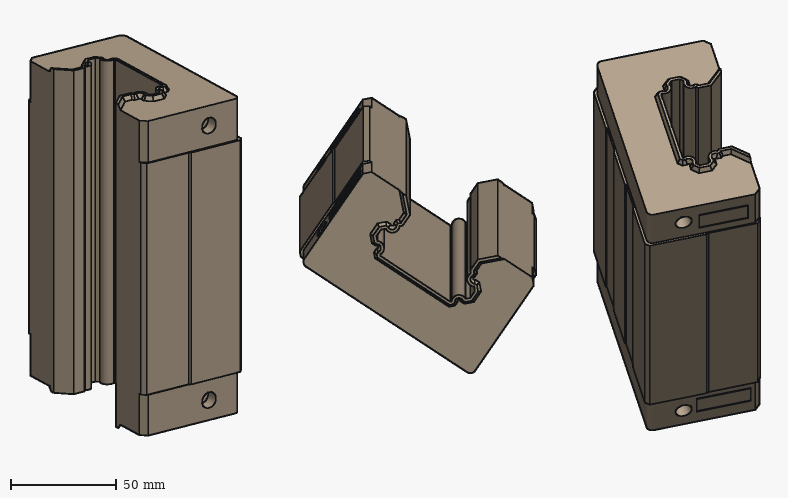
import cadquery as cq
import math


total_length = 165.7
block_length = 118.6
lip_height = 2.3
half_length = total_length / 2
cap_end = half_length - lip_height
cap_length = cap_end - block_length / 2

block_half_width = 50.0
block_height = 57.0
lower_half_width = 49.5
step_top = 27.2
step_bottom = 25.8
top_chamfer = 1.8
bottom_chamfer_x = 2.5
bottom_chamfer_y = 1.8
groove_inner = 10.5
groove_outer = 25.5
groove_depth = 0.5

cap_half_width = 48.9
cap_height = 55.7
cap_top_radius = 2.8
cap_bottom_chamfer = 3.0

mouth_half_width = 26.2
throat_half_width = 19.4
throat_top = 13.1
lobe_wall_half_width = 20.4
lobe_radius = 3.5
lobe_center_x = 23.5
lobe_center_rise = 6.6
race_center_y = 22.4
race_half_gap = 3.5
recess_half_width = 26.8
recess_half_height = 2.0
ceiling_half_width = 20.0
ceiling_y = 31.2

lip_base_width = 2.8
lip_rim_width = 1.5

hole_radius = 4.0
hole_depth = 6.6
hole_y = 38.1
hole_z = 70.3
label_height = 9.3
label_depth = 0.3
label_z = 68.5
upper_label_start_y = 6.5
upper_label_width = 24.0
lower_label_start_y = 5.1
lower_label_width = 26.5


def mirrored(points):
    """Reflect a path to the -X half, in reverse order."""
    return [(-x, y) for x, y in reversed(points)]


def channel_section(offset, z):
    """Channel outline on the plane at z, grown outwards by offset."""
    corner_shift = offset * math.tan(math.pi / 8)
    throat = throat_half_width + offset
    mouth = mouth_half_width + offset * math.sqrt(2)
    throat_end = throat_top - corner_shift
    lobe_wall = lobe_wall_half_width + offset
    radius = lobe_radius - offset
    gap = race_half_gap + offset
    recess = recess_half_width + offset
    recess_half = recess_half_height + corner_shift
    recess_start = recess - (gap - recess_half)
    ceiling = ceiling_y + offset
    ceiling_end = ceiling_half_width + corner_shift

    lobe_start_rise = lobe_center_rise + math.sqrt(radius**2 - (lobe_center_x - lobe_wall) ** 2)
    lobe_end_x = lobe_center_x + math.sqrt(radius**2 - (lobe_center_rise - gap) ** 2)
    lobe_middle = radius * math.sqrt(0.5)

    def race_path(side):
        """Points from the lobe wall to the recess wall; side is -1 below, +1 above."""
        rises = [
            (lobe_wall, lobe_start_rise),
            (lobe_center_x - lobe_middle, lobe_center_rise - lobe_middle),
            (lobe_end_x, gap),
            (recess_start, gap),
            (recess, recess_half),
        ]
        return [(x, race_center_y + side * rise) for x, rise in rises]

    right_side = [
        (mouth, 0),
        (throat, mouth - throat),
        (throat, throat_end),
        (lobe_wall, throat_end + lobe_wall - throat),
        *race_path(-1),
        *reversed(race_path(1)),
        (lobe_wall, ceiling - (lobe_wall - ceiling_end)),
        (ceiling_end, ceiling),
    ]
    points = right_side + mirrored(right_side)
    last = len(points) - 1
    lower_lobe = 5
    upper_lobe = 12
    arc_middles = {lower_lobe, upper_lobe, last - upper_lobe, last - lower_lobe}
    arc_ends = {index + 1 for index in arc_middles}

    path = cq.Workplane("XY", origin=(0, 0, z)).moveTo(*points[0])
    for index in range(1, len(points)):
        if index in arc_middles:
            path = path.threePointArc(points[index], points[index + 1])
        elif index not in arc_ends:
            path = path.lineTo(*points[index])
    return path.close()


def steel_block():
    right_side = [
        (lower_half_width - bottom_chamfer_x, 0),
        (lower_half_width, bottom_chamfer_y),
        (lower_half_width, step_bottom),
        (block_half_width, step_top),
        (block_half_width, block_height - top_chamfer),
        (block_half_width - top_chamfer, block_height),
        (groove_outer, block_height),
        (groove_outer - groove_depth, block_height - groove_depth),
        (groove_inner + groove_depth, block_height - groove_depth),
        (groove_inner, block_height),
    ]
    outline = cq.Workplane("XY").polyline(right_side + mirrored(right_side)).close()
    return outline.extrude(block_length / 2, both=True)


def end_cap():
    """Cap at the +Z end, with its side holes."""
    cap = (
        cq.Workplane("XY", origin=(0, cap_height / 2, block_length / 2))
        .rect(2 * cap_half_width, cap_height)
        .extrude(cap_length)
    )
    cap = cap.edges("|Z and >Y").fillet(cap_top_radius)
    cap = cap.edges("|Z and <Y").chamfer(cap_bottom_chamfer)

    for side in (-1, 1):
        hole = (
            cq.Workplane("YZ", origin=(side * cap_half_width, hole_y, hole_z))
            .circle(hole_radius)
            .extrude(-side * hole_depth)
        )
        cap = cap.cut(hole)
    return cap


def label_recess(start_y, width, z):
    """Shallow rectangular recess in the -X side of a cap."""
    return (
        cq.Workplane("YZ", origin=(-cap_half_width, start_y + width / 2, z))
        .rect(width, label_height)
        .extrude(label_depth)
    )


def sealing_lip():
    """Tapered band around the channel on the +Z cap, still filled in."""
    base = channel_section(lip_base_width, cap_end).wires().val()
    rim = channel_section(lip_rim_width, half_length).wires().val()
    return cq.Workplane(cq.Solid.makeLoft([base, rim], True))


upper_end = end_cap().union(sealing_lip())
lower_end = upper_end.mirror("XY")
channel = channel_section(0, -half_length).extrude(total_length)

upper_label = label_recess(upper_label_start_y, upper_label_width, label_z)
lower_label = label_recess(lower_label_start_y, lower_label_width, -label_z)

carriage = steel_block().union(upper_end).union(lower_end)
result = carriage.cut(channel).cut(upper_label).cut(lower_label)